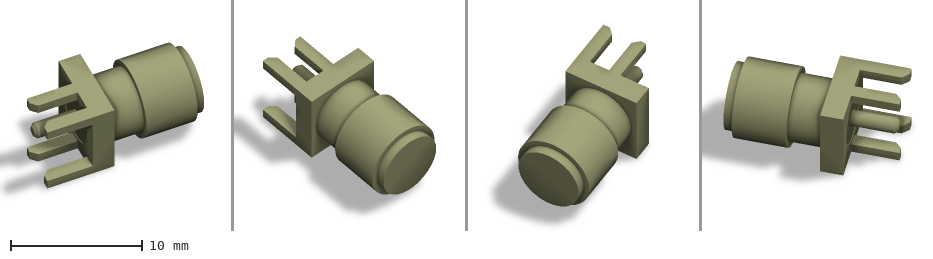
import cadquery as cq

total_length = 13.33

flange_side = 6.35
flange_thickness = 1.81
recess_diameter = 4.25
recess_depth = 0.1

barrel_diameter = 5.35
neck_length = 2.69
collar_diameter = 6.33
collar_length = 4.27
nose_length = 0.76

leg_height = 0.83
leg_chamfer = 0.5
inner_leg_width = 1.01
inner_leg_offset = 2.53
outer_leg_width = 1.08

pin_diameter = 1.27
pin_length = 3.61
pin_chamfer = 0.25

half_side = flange_side / 2
barrel_length = neck_length + collar_length + nose_length
leg_length = total_length - flange_thickness - barrel_length


def cylinder_along_y(diameter, start, length):
    """Cylinder on the connector axis, running from Y = start toward +Y."""
    plane = cq.Workplane("XZ", origin=(0, start, 0))
    return plane.circle(diameter / 2).extrude(-length)


def make_flange():
    """Square flange with a shallow round recess on its leg side."""
    flange = cq.Workplane("XY").box(
        flange_side, flange_thickness, flange_side, centered=(True, False, True)
    )
    return flange.cut(cylinder_along_y(recess_diameter, 0, recess_depth))


def make_barrel():
    """Barrel behind the flange, with a wider collar near its end."""
    barrel = cylinder_along_y(barrel_diameter, flange_thickness, barrel_length)
    collar_start = flange_thickness + neck_length
    return barrel.union(cylinder_along_y(collar_diameter, collar_start, collar_length))


def make_leg(left, width, chamfered_right, bottom):
    """Rectangular leg with one tip corner cut at 45 degrees."""
    right = left + width
    if chamfered_right:
        tip = [
            (left, -leg_length),
            (right - leg_chamfer, -leg_length),
            (right, leg_chamfer - leg_length),
        ]
    else:
        tip = [
            (left, leg_chamfer - leg_length),
            (left + leg_chamfer, -leg_length),
            (right, -leg_length),
        ]
    outline = [(left, 0), *tip, (right, 0)]
    return cq.Workplane("XY", origin=(0, 0, bottom)).polyline(outline).close().extrude(leg_height)


def make_pin():
    """Center pin rising from the recess floor, with a chamfered tip."""
    pin = cylinder_along_y(pin_diameter, -pin_length, pin_length + recess_depth)
    return pin.faces("<Y").chamfer(pin_chamfer)


result = make_flange().union(make_barrel()).union(make_pin())

for leg_bottom in (-half_side, half_side - leg_height):
    inner_leg = make_leg(inner_leg_offset - half_side, inner_leg_width, True, leg_bottom)
    outer_leg = make_leg(half_side - outer_leg_width, outer_leg_width, False, leg_bottom)
    result = result.union(inner_leg).union(outer_leg)